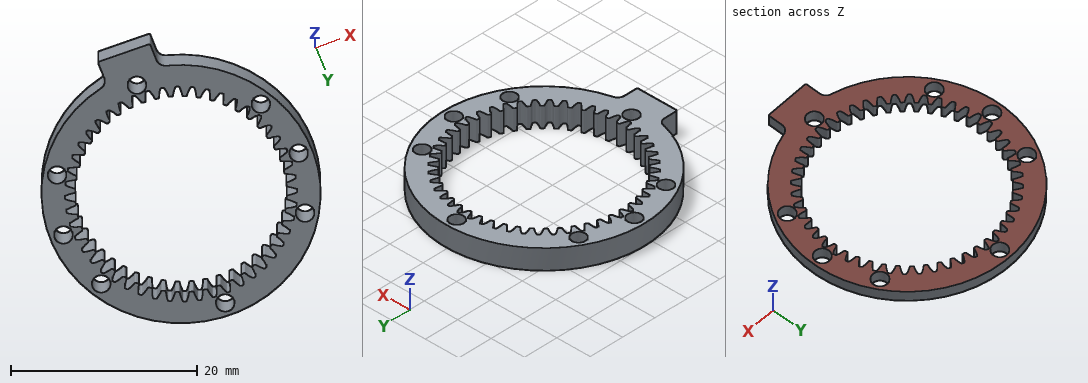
import cadquery as cq
import math

THICKNESS = 3.0
RING_RADIUS = 15.0

TOOTH_COUNT = 48
MODULE = 0.5
PRESSURE_ANGLE = math.radians(20.0)
ROOT_RADIUS = 12.475
TIP_RADIUS = 11.36
TOOTH_THICKENING = 0.05
TIP_FILLET = 0.17
ROOT_FILLET = 0.15
PITCH_RADIUS = MODULE * TOOTH_COUNT / 2
BASE_RADIUS = PITCH_RADIUS * math.cos(PRESSURE_ANGLE)
PITCH_ANGLE = 2 * math.pi / TOOTH_COUNT

HOLE_DIAMETER = 2.0
HOLE_CIRCLE_RADIUS = 13.5
HOLE_ANGLES = (0, 30, 90, 150, 180, 210, 270, 330)

TAB_WIDTH = 6.0
TAB_END = 17.5
TAB_CORNER_FILLET = 0.2
TAB_RING_FILLET = 1.0

PICK_MARGIN = 0.01


def polar(radius, angle):
    """Point at the given radius and angle about the ring axis."""
    return (radius * math.cos(angle), radius * math.sin(angle))


def involute(radius):
    """Involute function of the pressure angle found at the given radius."""
    angle = math.acos(BASE_RADIUS / radius)
    return math.tan(angle) - angle


def gap_half_angle(radius):
    """Half the angle between facing tooth flanks at the given radius."""
    pitch_half_angle = PITCH_ANGLE / 4 - TOOTH_THICKENING / (2 * PITCH_RADIUS)
    return pitch_half_angle + involute(PITCH_RADIUS) - involute(radius)


def fillet_upright_pair(body, x, y, radius):
    """Round the two upright edges at (-x, y) and (x, y)."""
    for edge_x in (-x, x):
        edge_box = cq.selectors.BoxSelector(
            (edge_x - PICK_MARGIN, y - PICK_MARGIN, 0),
            (edge_x + PICK_MARGIN, y + PICK_MARGIN, THICKNESS),
        )
        body = body.edges("|Z").edges(edge_box).fillet(radius)
    return body


def disc_with_tab():
    """Full disc with the tab blended into its rim."""
    disc = cq.Workplane("XY").circle(RING_RADIUS).extrude(THICKNESS)
    tab = cq.Workplane("XY").center(0, -TAB_END / 2).rect(TAB_WIDTH, TAB_END).extrude(THICKNESS)
    body = disc.union(tab)

    half_width = TAB_WIDTH / 2
    joint_y = -math.sqrt(RING_RADIUS**2 - half_width**2)
    body = fillet_upright_pair(body, half_width, joint_y, TAB_RING_FILLET)
    return fillet_upright_pair(body, half_width, -TAB_END, TAB_CORNER_FILLET)


def sharp_gear_outline():
    """Toothed outline before rounding, with a tooth centred on +X."""
    tip_half = gap_half_angle(TIP_RADIUS)
    pitch_half = gap_half_angle(PITCH_RADIUS)
    root_half = gap_half_angle(ROOT_RADIUS)

    outline = cq.Workplane("XY").moveTo(*polar(TIP_RADIUS, PITCH_ANGLE / 2 - tip_half))
    for index in range(TOOTH_COUNT):
        gap = (index + 0.5) * PITCH_ANGLE
        next_tooth = gap + PITCH_ANGLE / 2
        next_gap = gap + PITCH_ANGLE
        outline = (
            outline
            .threePointArc(polar(PITCH_RADIUS, gap - pitch_half), polar(ROOT_RADIUS, gap - root_half))
            .threePointArc(polar(ROOT_RADIUS, gap), polar(ROOT_RADIUS, gap + root_half))
            .threePointArc(polar(PITCH_RADIUS, gap + pitch_half), polar(TIP_RADIUS, gap + tip_half))
            .threePointArc(polar(TIP_RADIUS, next_tooth), polar(TIP_RADIUS, next_gap - tip_half))
        )
    return outline.close().val()


def round_corners(profile, corner_radius, fillet_radius):
    """Fillet every corner of the profile that lies at corner_radius from the ring axis."""
    corners = []
    for corner in profile.Vertices():
        if abs(math.hypot(corner.X, corner.Y) - corner_radius) < PICK_MARGIN:
            corners.append(corner)
    return profile.fillet2D(fillet_radius, corners)


def gear_opening():
    """Solid that fills the toothed opening of the ring."""
    profile = cq.Face.makeFromWires(sharp_gear_outline())
    profile = round_corners(profile, ROOT_RADIUS, ROOT_FILLET)
    profile = round_corners(profile, TIP_RADIUS, TIP_FILLET)
    return cq.Workplane(cq.Solid.extrudeLinear(profile, cq.Vector(0, 0, THICKNESS)))


def through_holes():
    """Pins that fill the holes around the gear."""
    centres = [polar(HOLE_CIRCLE_RADIUS, math.radians(angle)) for angle in HOLE_ANGLES]
    return cq.Workplane("XY").pushPoints(centres).circle(HOLE_DIAMETER / 2).extrude(THICKNESS)


result = disc_with_tab().cut(gear_opening()).cut(through_holes())